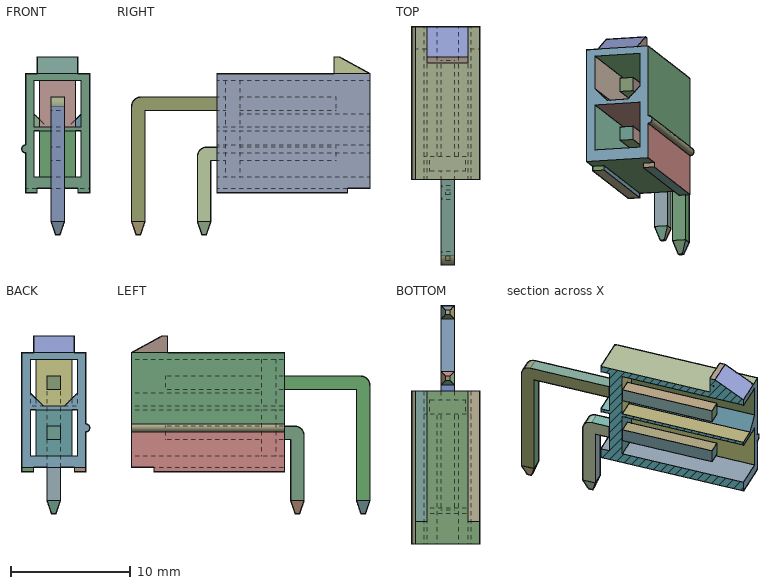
import cadquery as cq


body_width = 5.37
body_length = 12.82
body_height = 9.98
ridge_radius = 0.34
ridge_z = 3.67
foot_height = 0.38
foot_setback = 1.88

cavity_center_x = -0.02
latch_width = 3.41
channel_width = latch_width

latch_height = 1.4
latch_length = 3.04
latch_flat = 0.48

pitch = 4.2
cavity_width = 3.91
cavity_height = 3.85
lower_cavity_floor = 1.34
socket_chamfer = 1.05
web_width = 3.04
web_setback = 0.74
web_thickness = 1.2

pin_size = 1.14
pin_tip_size = 0.38
pin_taper = 1.1
overall_height = 14.9
pin_bottom_z = body_height + latch_height - overall_height
bend_radius = 0.8
lower_pin_top_z = 3.83
lower_pin_reach = 1.64
overall_length = 19.97
upper_pin_reach = overall_length - body_length
contact_end_y = 9.98


def box(width, length, height, x_center, y_start, z_start):
    """Box centred in X that starts at the given Y and Z."""
    return (
        cq.Workplane("XY")
        .box(width, length, height, centered=(True, False, False))
        .translate((x_center, y_start, z_start))
    )


def make_housing():
    body = box(body_width, body_length, body_height, 0, 0, 0)
    ridge = (
        cq.Workplane("XZ", origin=(-body_width / 2, 0, ridge_z))
        .circle(ridge_radius)
        .extrude(-body_length)
    )
    channel = box(channel_width, body_length, foot_height, cavity_center_x, 0, 0)
    foot_step = box(body_width, foot_setback, foot_height, 0, body_length - foot_setback, 0)
    return body.union(ridge).cut(channel).cut(foot_step)


def make_latch():
    latch_start = body_length - latch_length
    latch_top = body_height + latch_height
    return (
        cq.Workplane("YZ", origin=(cavity_center_x - latch_width / 2, 0, 0))
        .moveTo(latch_start, body_height)
        .lineTo(latch_start, latch_top)
        .lineTo(latch_start + latch_flat, latch_top)
        .lineTo(body_length, body_height)
        .close()
        .extrude(latch_width)
    )


def make_cavity(floor_z, has_chamfer):
    """Through opening with a central web; the socket lies beyond the web."""
    socket_start = web_setback + web_thickness
    socket_length = body_length - socket_start
    recess = box(cavity_width, socket_start, cavity_height, cavity_center_x, 0, floor_z)
    socket = box(cavity_width, socket_length, cavity_height, cavity_center_x, socket_start, floor_z)
    if has_chamfer:
        socket = socket.faces("<Z").edges("|Y").chamfer(socket_chamfer)
    web = box(web_width, web_thickness, cavity_height, cavity_center_x, web_setback, floor_z)
    return recess.union(socket).cut(web)


def make_pin(top_z, reach):
    """Square pin bent down to the board, with a tapered tip."""
    taper_top_z = pin_bottom_z + pin_taper
    contact = box(pin_size, contact_end_y + reach, pin_size, 0, -reach, top_z - pin_size)
    leg = box(pin_size, pin_size, top_z - taper_top_z, 0, -reach, taper_top_z)
    bent = contact.union(leg).edges(
        cq.selectors.NearestToPointSelector((0, -reach, top_z))
    ).fillet(bend_radius)
    tip = (
        cq.Workplane("XY", origin=(0, pin_size / 2 - reach, taper_top_z))
        .rect(pin_size, pin_size)
        .workplane(offset=-pin_taper)
        .rect(pin_tip_size, pin_tip_size)
        .loft()
    )
    return bent.union(tip)


result = make_housing().union(make_latch())

result = result.cut(make_cavity(lower_cavity_floor, False))
result = result.cut(make_cavity(lower_cavity_floor + pitch, True))

result = result.union(make_pin(lower_pin_top_z, lower_pin_reach))
result = result.union(make_pin(lower_pin_top_z + pitch, upper_pin_reach))